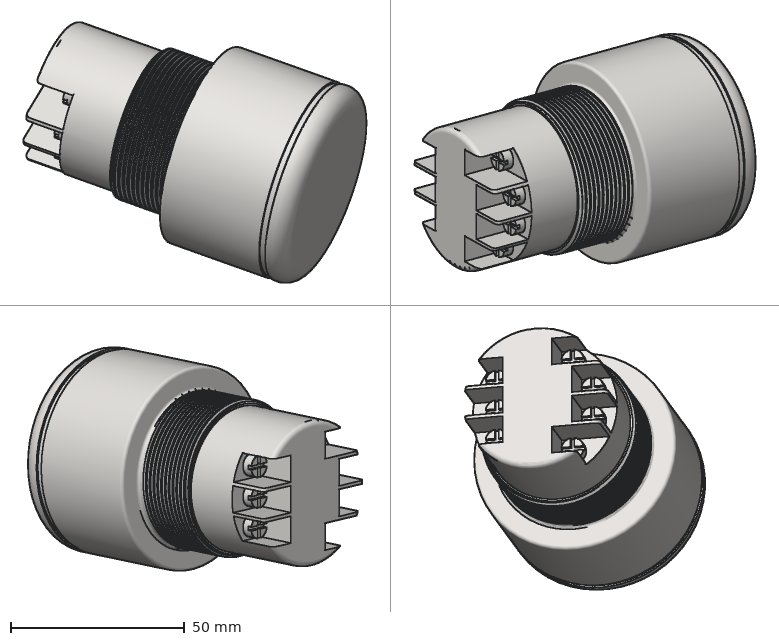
import cadquery as cq


collar_start = 28.25
head_start = 47.5
groove_start = 79.3
groove_end = 81.3
total_length = 87.5

barrel_radius = 21.4
barrel_round = 1.5
collar_radius = 23.1
collar_chamfer = 1.05
neck_fillet = 0.9
head_radius = 30.0
head_round = 1.0
groove_radius = 29.4
button_round = 5.0

thread_start = 27.55
thread_end = 46.3
thread_turns = 12.5
thread_depth = 1.0
thread_opening = 1.0
thread_root_width = 0.35

pocket_depth = 12.1
pocket_height = 8.0
rib_thickness = 1.05
pocket_pitch = pocket_height + rib_thickness
left_wall = 9.5
right_inner_wall = 10.9
right_outer_wall = 5.0

screw_radius = 3.3
screw_head_height = 3.2
screw_wall_distance = pocket_height / 2
recess_width = 1.1
recess_depth = 1.2

terminals = []
for step in (-1, 0, 1):
    terminals.append((1, left_wall, step * pocket_pitch))
for half in (-1, 1):
    terminals.append((-1, right_inner_wall, half * 0.5 * pocket_pitch))
    terminals.append((-1, right_outer_wall, half * 1.5 * pocket_pitch))


def turned_body():
    """Revolve the half outline, given as (distance along the axis, radius)."""
    outline = (
        cq.Workplane("XY")
        .moveTo(0, 0)
        .lineTo(0, barrel_radius - barrel_round)
        .radiusArc((barrel_round, barrel_radius), barrel_round)
        .lineTo(collar_start, barrel_radius)
        .lineTo(collar_start, collar_radius - collar_chamfer)
        .lineTo(collar_start + collar_chamfer, collar_radius)
        .lineTo(head_start - neck_fillet, collar_radius)
        .radiusArc((head_start, collar_radius + neck_fillet), -neck_fillet)
        .lineTo(head_start, head_radius - head_round)
        .radiusArc((head_start + head_round, head_radius), head_round)
        .lineTo(groove_start, head_radius)
        .lineTo(groove_start, groove_radius)
        .lineTo(groove_end, groove_radius)
        .lineTo(groove_end, head_radius)
        .lineTo(total_length - button_round, head_radius)
        .radiusArc((total_length, head_radius - button_round), button_round)
        .lineTo(total_length, 0)
        .close()
    )
    return outline.revolve(360, (0, 0, 0), (1, 0, 0))


def thread_groove():
    """Sweep a trapezoid along a helix, then lay the helix axis along X with its start at +Z."""
    run = thread_end - thread_start
    pitch = run / thread_turns
    root_radius = collar_radius - thread_depth
    overshoot = 0.2
    flank_slope = (thread_opening - thread_root_width) / 2 / thread_depth
    outer_half_width = thread_opening / 2 + overshoot * flank_slope
    root_half_width = thread_root_width / 2
    helix = cq.Wire.makeHelix(pitch, run, root_radius)
    groove = (
        cq.Workplane("XZ")
        .polyline([
            (root_radius, -root_half_width),
            (collar_radius + overshoot, -outer_half_width),
            (collar_radius + overshoot, outer_half_width),
            (root_radius, root_half_width),
        ])
        .close()
        .sweep(cq.Workplane(helix), isFrenet=True)
    )
    thread_plane = cq.Plane(origin=(thread_start, 0, 0), xDir=(0, 0, 1), normal=(1, 0, 0))
    return cq.Workplane(groove.val().moved(cq.Location(thread_plane)))


def terminal_pocket(side, wall, height):
    """Box open to the barrel face and to the side of the barrel."""
    width = barrel_radius - wall
    return (
        cq.Workplane("XY")
        .box(pocket_depth, width, pocket_height, centered=(False, True, True))
        .translate((0, side * (wall + width / 2), height))
    )


def terminal_screw(side, wall, height):
    """Cylindrical screw head standing on the pocket floor, with a cross recess."""
    diameter = 2 * screw_radius
    head = cq.Workplane("YZ").circle(screw_radius).extrude(screw_head_height)
    for size in ((diameter, recess_width), (recess_width, diameter)):
        head = head.cut(cq.Workplane("YZ").rect(*size).extrude(recess_depth))
    place = (pocket_depth - screw_head_height, side * (wall + screw_wall_distance), height)
    return head.translate(place)


button = turned_body().cut(thread_groove())
for terminal in terminals:
    button = button.cut(terminal_pocket(*terminal))
for terminal in terminals:
    button = button.union(terminal_screw(*terminal))

result = button.solids()